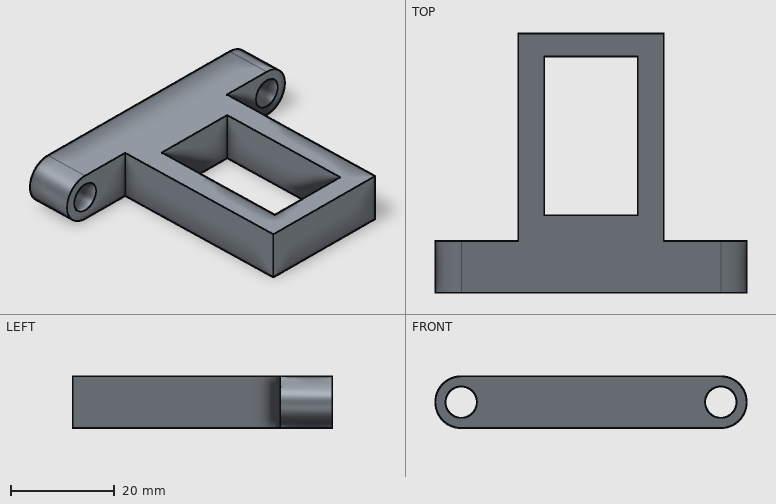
import cadquery as cq

bar_length = 60.0
thickness = 10.0
bar_depth = 10.0
hole_diameter = 6.0
hole_spacing = bar_length - thickness

total_depth = 50.0
frame_width = 28.0
window_width = 18.0
window_start = 15.0
far_wall = 4.5
window_end = total_depth - far_wall


def centered_block(width, y_start, y_end):
    """Block of full thickness, centered on X and Z, spanning y_start to y_end."""
    depth = y_end - y_start
    return cq.Workplane("XY").box(width, depth, thickness).translate((0, y_start + depth / 2, 0))


def make_crossbar():
    """Rounded bar with its front face on Y = 0."""
    return cq.Workplane("XZ").slot2D(bar_length, thickness).extrude(-bar_depth)


def make_end_holes():
    """Cylinders for the two holes running through the bar along Y."""
    return (
        cq.Workplane("XZ")
        .pushPoints([(-hole_spacing / 2, 0), (hole_spacing / 2, 0)])
        .circle(hole_diameter / 2)
        .extrude(-bar_depth)
    )


frame = centered_block(frame_width, 0, total_depth)
window = centered_block(window_width, window_start, window_end)

result = make_crossbar().union(frame).cut(window).cut(make_end_holes())